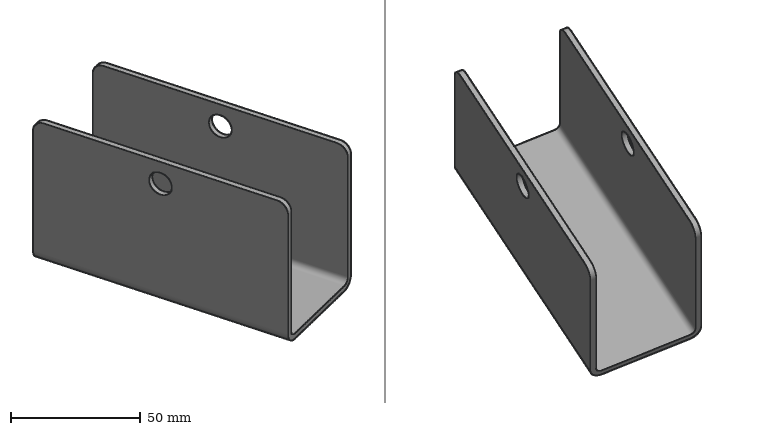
import cadquery as cq

length = 114.3
width = 48.2
height = 66.1
thickness = 2.5
inner_bend_radius = 2.5
outer_bend_radius = inner_bend_radius + thickness
corner_radius = 5.0
hole_diameter = 10.2
hole_drop = 10.2


def rounded_trough(trough_width, floor_z, bend_radius):
    """Solid bar up to the top edge, with its two lower long edges rounded."""
    trough_height = height - floor_z
    return (
        cq.Workplane("XY", origin=(0, 0, floor_z))
        .box(length, trough_width, trough_height, centered=(True, True, False))
        .edges("|X and <Z")
        .fillet(bend_radius)
    )


outside = rounded_trough(width, 0, outer_bend_radius)
inside = rounded_trough(width - 2 * thickness, thickness, inner_bend_radius)
channel = outside.cut(inside)

channel = channel.edges("|Y and >Z").fillet(corner_radius)

hole_bar = (
    cq.Workplane("XZ")
    .center(0, height - hole_drop)
    .circle(hole_diameter / 2)
    .extrude(width, both=True)
)

result = channel.cut(hole_bar)